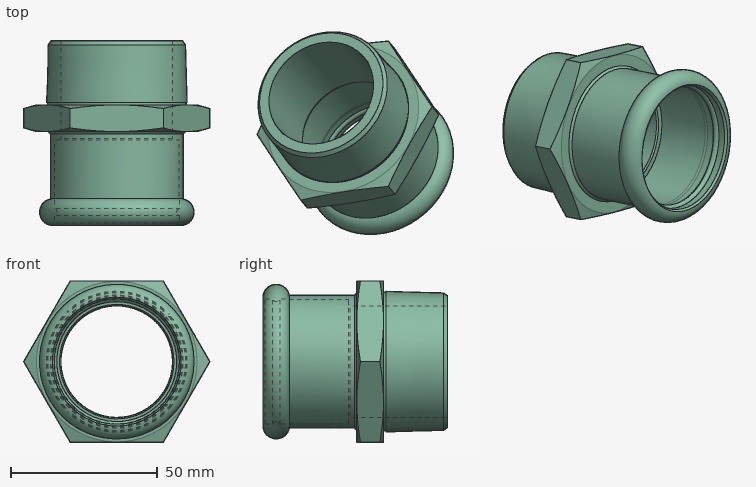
import cadquery as cq


total_length = 63.0
bead_length = 9.15
hex_start = 32.0
hex_end = 41.15
thread_start = 41.9
end_chamfer_length = 1.4

across_corners = 63.5
hex_face_diameter = 54.75
hex_chamfer_depth = 1.3
bead_diameter = 52.7
body_diameter = 45.4
body_chamfer = 0.75
neck_diameter = 47.4
thread_root_diameter = 48.0
thread_end_diameter = 46.95
end_face_diameter = 44.8

mouth_diameter = 43.95
lip_diameter = 42.7
lip_chamfer_length = 0.8
seal_width = 2.4
seal_inner_diameter = 40.85
lip_end = 8.5
socket_diameter = 42.4
socket_entry_end = 9.5
socket_depth = 29.2
stop_diameter = 39.0
bore_diameter = 38.0
bore_chamfer = (stop_diameter - bore_diameter) / 2


def turned_body():
    """Outer shape turned about Y, without the hexagon."""
    bead_radius = bead_length / 2
    bead_shoulder = bead_diameter / 2 - bead_radius
    body_radius = body_diameter / 2
    neck_radius = neck_diameter / 2
    return (
        cq.Workplane("XY")
        .lineTo(bead_shoulder, 0)
        .threePointArc((bead_diameter / 2, bead_radius), (bead_shoulder, bead_length))
        .lineTo(body_radius, bead_length)
        .lineTo(body_radius, hex_start - body_chamfer)
        .lineTo(body_radius + body_chamfer, hex_start)
        .lineTo(neck_radius, hex_start)
        .lineTo(neck_radius, thread_start)
        .lineTo(thread_root_diameter / 2, thread_start)
        .lineTo(thread_end_diameter / 2, total_length - end_chamfer_length)
        .lineTo(end_face_diameter / 2, total_length)
        .lineTo(0, total_length)
        .close()
        .revolve(360, (0, 0), (0, 1))
    )


def hexagon():
    """Hexagon with corners on X, its corners chamfered by a cone at both faces."""
    prism = (
        cq.Workplane("XZ", origin=(0, hex_start, 0))
        .polygon(6, across_corners)
        .extrude(hex_start - hex_end)
    )
    face_radius = hex_face_diameter / 2
    corner_radius = across_corners / 2
    envelope = (
        cq.Workplane("XY")
        .moveTo(0, hex_start)
        .lineTo(face_radius, hex_start)
        .lineTo(corner_radius, hex_start + hex_chamfer_depth)
        .lineTo(corner_radius, hex_end - hex_chamfer_depth)
        .lineTo(face_radius, hex_end)
        .lineTo(0, hex_end)
        .close()
        .revolve(360, (0, 0), (0, 1))
    )
    return prism.intersect(envelope)


def inner_space():
    """Socket with its raised seal ring, followed by the narrower through bore."""
    lip_radius = lip_diameter / 2
    socket_radius = socket_diameter / 2
    seal_middle = bead_length / 2
    seal_start = seal_middle - seal_width / 2
    seal_end = seal_middle + seal_width / 2
    return (
        cq.Workplane("XY")
        .lineTo(mouth_diameter / 2, 0)
        .lineTo(lip_radius, lip_chamfer_length)
        .lineTo(lip_radius, seal_start)
        .threePointArc((seal_inner_diameter / 2, seal_middle), (lip_radius, seal_end))
        .lineTo(lip_radius, lip_end)
        .lineTo(socket_radius, socket_entry_end)
        .lineTo(socket_radius, socket_depth)
        .lineTo(stop_diameter / 2, socket_depth)
        .lineTo(bore_diameter / 2, socket_depth + bore_chamfer)
        .lineTo(bore_diameter / 2, total_length)
        .lineTo(0, total_length)
        .close()
        .revolve(360, (0, 0), (0, 1))
    )


result = turned_body().union(hexagon()).cut(inner_space())